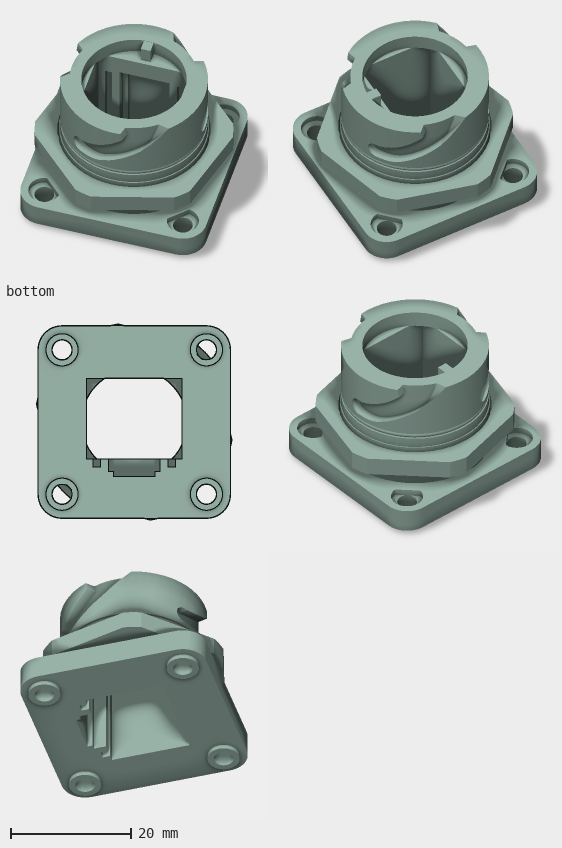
import cadquery as cq
import math

FOOT_TOP = 0.78
PLATE_TOP = 3.78
GASKET_TOP = 4.92
NUT_BOTTOM = 7.7
NUT_TOP = 10.95
THREAD_TOP = 11.7
RING_CENTRE = 13.95
LEDGE = 20.7
TOTAL_HEIGHT = 23.5

SQUARE_SIDE = 32.0
CORNER_RADIUS = 4.0
HOLE_PITCH = SQUARE_SIDE - 2 * CORNER_RADIUS
SCREW_HOLE_DIAMETER = 3.3
FOOT_DIAMETER = 5.35
CORNERS = [(i * HOLE_PITCH / 2, j * HOLE_PITCH / 2) for i in (-1, 1) for j in (-1, 1)]

THREAD_DIAMETER = 25.0
BARREL_DIAMETER = 24.6
MOUTH_DIAMETER = 17.53

GASKET_BORE = 26.85
NUT_BORE = 25.5

RING_SECTION = 0.98
RING_OUTER_DIAMETER = 24.48

NUT_ACROSS_FLATS = 29.98
NUT_CORNER_DIAMETER = 33.0
NUT_ANGLE = 15.5

SLOT_COUNT = 3
SLOT_DIRECTION = 255.0
SLOT_FLOOR_DIAMETER = 21.5
SLOT_END_X = -3.35
SLOT_END_BOTTOM = 15.3
SLOT_END_WIDTH = 2.93
LOWER_RAMP_START = -1.63
LOWER_RAMP_TANGENT_END = (1.15, 15.77)
LOWER_RAMP_MIDDLE = (4.25, 17.25)
LOWER_RAMP_END = (7.3, 19.3)
LEAD_IN_MIDDLE = (9.42, 21.75)
LEAD_IN_END = (10.85, 24.0)
UPPER_RAMP_START = -2.67
UPPER_RAMP_MIDDLE = (1.7, 19.9)
UPPER_RAMP_END = (4.65, 22.05)
SLOT_MOUTH_X = 4.35
LEAD_IN_OFFSET = 6.32
LEAD_IN_ANGLE = 16.5

WINDOW_WIDTH = 15.85
WINDOW_BACK = 6.13
WINDOW_FRONT = -7.27
LATCH_CEILING = 17.25
LATCH_WIDTH = 8.6
LATCH_BACK = 8.2
LATCH_STEP_WIDTH = 6.97
LATCH_STEP_BACK = 9.05
SIDE_SLOT_CEILING = 16.8
SIDE_SLOT_INNER = 5.6
SIDE_SLOT_OUTER = 6.85
SIDE_SLOT_BACK = 7.45

KEY_WIDTH = 1.7
KEY_INNER = 6.88
KEY_DROP = 0.05


def box(x_range, y_range, z_range):
    """Box given by its limits along each axis."""
    lengths = [high - low for low, high in (x_range, y_range, z_range)]
    corner = cq.Vector(x_range[0], y_range[0], z_range[0])
    return cq.Workplane("XY").box(*lengths, centered=False).translate(corner)


def disc(diameter, bottom, top):
    """Upright cylinder on the part's axis."""
    return cq.Workplane("XY").workplane(offset=bottom).circle(diameter / 2).extrude(top - bottom)


def rounded_square(bottom, top):
    """Square plate with rounded corners."""
    plate = cq.Workplane("XY").workplane(offset=bottom).rect(SQUARE_SIDE, SQUARE_SIDE)
    return plate.extrude(top - bottom).edges("|Z").fillet(CORNER_RADIUS)


def corner_cylinders(diameter, bottom, top):
    """One cylinder at each corner hole position."""
    plane = cq.Workplane("XY").workplane(offset=bottom)
    return plane.pushPoints(CORNERS).circle(diameter / 2).extrude(top - bottom)


def gasket_screw_openings():
    """Corner openings, each cut off by a flat that touches the screw hole on its inner side."""
    flat_distance = HOLE_PITCH / 2 * math.sqrt(2) - SCREW_HOLE_DIAMETER / 2
    inner_square = (
        cq.Workplane("XY")
        .rect(2 * flat_distance, 2 * flat_distance)
        .extrude(GASKET_TOP)
        .rotate((0, 0, 0), (0, 0, 1), 45)
    )
    return corner_cylinders(FOOT_DIAMETER, PLATE_TOP, GASKET_TOP).cut(inner_square)


def slot_cutter():
    """Bayonet slot: a curved ramp running up from a round end to a flared mouth at the rim."""
    end_top = SLOT_END_BOTTOM + SLOT_END_WIDTH
    end_radius = SLOT_END_WIDTH / 2
    mouth_top = LEAD_IN_END[1]
    outline = (
        cq.Workplane("XZ")
        .moveTo(SLOT_END_X, SLOT_END_BOTTOM)
        .lineTo(LOWER_RAMP_START, SLOT_END_BOTTOM)
        .tangentArcPoint(LOWER_RAMP_TANGENT_END, relative=False)
        .threePointArc(LOWER_RAMP_MIDDLE, LOWER_RAMP_END)
        .threePointArc(LEAD_IN_MIDDLE, LEAD_IN_END)
        .lineTo(SLOT_MOUTH_X, mouth_top)
        .lineTo(SLOT_MOUTH_X, TOTAL_HEIGHT)
        .lineTo(*UPPER_RAMP_END)
        .threePointArc(UPPER_RAMP_MIDDLE, (UPPER_RAMP_START, end_top))
        .lineTo(SLOT_END_X, end_top)
        .threePointArc((SLOT_END_X - end_radius, end_top - end_radius), (SLOT_END_X, SLOT_END_BOTTOM))
        .close()
    )
    cutter = outline.extrude(BARREL_DIAMETER)
    lead_in_limit = (
        cq.Workplane("XY")
        .box(2 * BARREL_DIAMETER, BARREL_DIAMETER, 2 * BARREL_DIAMETER, centered=(True, False, True))
        .rotate((0, 0, 0), (1, 0, 0), -LEAD_IN_ANGLE)
        .translate((0, -LEAD_IN_OFFSET, TOTAL_HEIGHT))
    )
    floor = disc(SLOT_FLOOR_DIAMETER, 0, 2 * TOTAL_HEIGHT)
    front_angle = 270
    cutter = cutter.cut(lead_in_limit).cut(floor)
    return cutter.rotate((0, 0, 0), (0, 0, 1), SLOT_DIRECTION - front_angle)


def key_block():
    """Polarising key standing on the ledge inside the mouth."""
    half_width = KEY_WIDTH / 2
    z_range = (LEDGE, TOTAL_HEIGHT - KEY_DROP)
    return box((-half_width, half_width), (KEY_INNER, MOUTH_DIAMETER / 2), z_range)


def ring_groove():
    """Groove around the barrel, just wide enough for the sealing ring."""
    bottom = RING_CENTRE - RING_SECTION / 2
    top = RING_CENTRE + RING_SECTION / 2
    return disc(THREAD_DIAMETER, bottom, top).cut(disc(RING_OUTER_DIAMETER - 2 * RING_SECTION, bottom, top))


def socket_openings():
    """Rectangular opening with a stepped latch recess and two side slots in its +Y wall."""

    def centred(width):
        return (-width / 2, width / 2)

    openings = box(centred(WINDOW_WIDTH), (WINDOW_FRONT, WINDOW_BACK), (0, LEDGE))
    latch_height = (0, LATCH_CEILING)
    openings = openings.union(box(centred(LATCH_WIDTH), (WINDOW_BACK, LATCH_BACK), latch_height))
    openings = openings.union(box(centred(LATCH_STEP_WIDTH), (WINDOW_BACK, LATCH_STEP_BACK), latch_height))
    for near, far in ((SIDE_SLOT_INNER, SIDE_SLOT_OUTER), (-SIDE_SLOT_OUTER, -SIDE_SLOT_INNER)):
        side_slot = box((near, far), (WINDOW_BACK, SIDE_SLOT_BACK), (0, SIDE_SLOT_CEILING))
        openings = openings.union(side_slot)
    return openings


def make_housing():
    """Base plate on four feet, with a threaded neck, a bayonet barrel and the socket inside."""
    housing = (
        rounded_square(FOOT_TOP, PLATE_TOP)
        .union(corner_cylinders(FOOT_DIAMETER, 0, FOOT_TOP))
        .union(disc(THREAD_DIAMETER, FOOT_TOP, THREAD_TOP))
        .union(disc(BARREL_DIAMETER, FOOT_TOP, TOTAL_HEIGHT))
        .cut(disc(MOUTH_DIAMETER, LEDGE, TOTAL_HEIGHT))
        .union(key_block())
        .cut(corner_cylinders(SCREW_HOLE_DIAMETER, 0, PLATE_TOP))
        .cut(socket_openings())
        .cut(ring_groove())
    )
    slot = slot_cutter()
    for i in range(SLOT_COUNT):
        housing = housing.cut(slot.rotate((0, 0, 0), (0, 0, 1), i * 360 / SLOT_COUNT))
    return housing


def make_gasket():
    """Flat square gasket lying on the base plate, clear of the threaded neck."""
    return (
        rounded_square(PLATE_TOP, GASKET_TOP)
        .cut(disc(GASKET_BORE, PLATE_TOP, GASKET_TOP))
        .cut(gasket_screw_openings())
    )


def make_nut():
    """Hexagon nut with its corners turned down to a circle."""
    corner_distance = NUT_ACROSS_FLATS / math.cos(math.pi / 6)
    height = NUT_TOP - NUT_BOTTOM
    hexagon = (
        cq.Workplane("XY")
        .workplane(offset=NUT_BOTTOM)
        .polygon(6, corner_distance)
        .extrude(height)
        .rotate((0, 0, 0), (0, 0, 1), NUT_ANGLE)
    )
    turned = hexagon.intersect(disc(NUT_CORNER_DIAMETER, NUT_BOTTOM, NUT_TOP))
    return turned.cut(disc(NUT_BORE, NUT_BOTTOM, NUT_TOP))


def make_sealing_ring():
    """Round-section ring lying in the barrel's groove."""
    centre_radius = (RING_OUTER_DIAMETER - RING_SECTION) / 2
    section = cq.Workplane("XZ").center(centre_radius, RING_CENTRE).circle(RING_SECTION / 2)
    return section.revolve(360, (-centre_radius, 0), (-centre_radius, 1))


housing = make_housing()
gasket = make_gasket()
nut = make_nut()
sealing_ring = make_sealing_ring()

result = cq.Compound.makeCompound([housing.val(), gasket.val(), nut.val(), sealing_ring.val()])